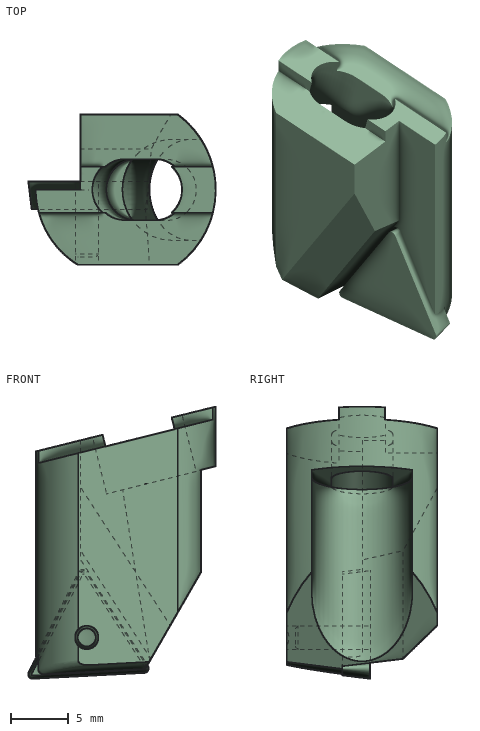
import cadquery as cq
import math

flat_width = 13.0
left_reach = 7.75
right_reach = 7.78
flat_left_end = 4.11
flat_right_end = 4.5

top_slope = 14.0
rail_top = 23.5
rail_width = 4.0
rail_height = 1.03

slot_length = 7.97
slot_diameter = 5.26
slot_center_x = 0.99
flange_thickness = 5.0
clearance_radius = 4.35
clearance_start_x = -0.28
clearance_tilt = 9.0

corner_x = 6.5
corner_z = 9.21
corner_angle = 60.0

insert_turn = 3.0
underside_relief = 7.0
underside_z = 0.56
underside_round = 0.5

insert_center_x = -3.35
insert_inradius = 3.17
insert_nose_radius = 0.4
insert_thickness = 2.4
insert_face_y = 0.7
insert_relief = 7.0
insert_corner_angle = 60.0
seat_gap = 0.197

pocket_wall_x = -3.9
pocket_step_y = 3.52
pocket_flare = 45.0

screw_x = -3.35
screw_z = 3.57
screw_radius = 1.0
screw_chamfer = 0.24
screw_recess = 0.73

beyond = 35.25

half_width = flat_width / 2
slope = math.radians(top_slope)
nose_distance = 2 * (insert_inradius - insert_nose_radius)
low_nose_angle = math.radians(insert_corner_angle / 2 + insert_turn)
insert_center_z = nose_distance * math.sin(low_nose_angle) + insert_nose_radius


def sloped_height(x, depth=0.0):
    """Height at x of the plane lying depth below the rail top, square to it."""
    return rail_top - (right_reach - x) * math.tan(slope) - depth / math.cos(slope)


def turned_plane(x, y, z, degrees):
    """XZ plane facing -Y at a point, its local X axis turned up from +X."""
    turn = math.radians(degrees)
    return cq.Plane(origin=(x, y, z), xDir=(math.cos(turn), 0, math.sin(turn)), normal=(0, -1, 0))


def tilted_plane(x, z, degrees):
    """Plane across the part at Y = 0 whose normal leans from +Z towards -X."""
    tilt = math.radians(degrees)
    return cq.Plane(
        origin=(x, 0, z),
        xDir=(math.cos(tilt), 0, math.sin(tilt)),
        normal=(-math.sin(tilt), 0, math.cos(tilt)),
    )


def insert_blank(gap=0.0):
    """Triangle with round noses, tapering from its +Y face, grown all round by a gap."""
    nose_centers = []
    for corner in range(3):
        angle = math.radians(90 + 120 * corner)
        nose_centers.append((nose_distance * math.cos(angle), nose_distance * math.sin(angle)))
    return (
        cq.Workplane(turned_plane(insert_center_x, insert_face_y, insert_center_z, insert_turn))
        .polyline(nose_centers)
        .close()
        .offset2D(insert_nose_radius + gap)
        .extrude(insert_thickness, taper=insert_relief)
    )


def screw_hole():
    """Straight hole from the insert face out through the -Y flat."""
    return (
        cq.Workplane(turned_plane(screw_x, insert_face_y, screw_z, 0))
        .circle(screw_radius)
        .extrude(insert_face_y + half_width)
    )


def make_screw():
    """Headless screw, flush with the insert and ending below the -Y flat."""
    return (
        cq.Workplane(turned_plane(screw_x, insert_face_y, screw_z, 0))
        .circle(screw_radius)
        .extrude(insert_face_y + half_width - screw_recess)
        .faces("<Y")
        .chamfer(screw_chamfer)
    )


def shank():
    """Two flats joined by shallow arcs, as a long upright bar."""
    return (
        cq.Workplane("XY", origin=(0, 0, -half_width))
        .moveTo(-flat_left_end, -half_width)
        .lineTo(flat_right_end, -half_width)
        .threePointArc((right_reach, 0), (flat_right_end, half_width))
        .lineTo(-flat_left_end, half_width)
        .threePointArc((-left_reach, 0), (-flat_left_end, -half_width))
        .close()
        .extrude(beyond)
    )


def below_top(depth, width):
    """Block under the plane lying depth below the rail top, centred on Y."""
    plane = tilted_plane(0, sloped_height(0, depth), top_slope)
    return cq.Workplane(plane).rect(2 * beyond, width).extrude(-beyond)


def below_underside():
    """Block under the relieved underside."""
    turn = math.tan(math.radians(insert_turn))
    relief = math.tan(math.radians(underside_relief))
    plane = cq.Plane(origin=(0, 0, underside_z), xDir=(1, 0, turn), normal=(-turn, relief, 1))
    return cq.Workplane(plane).rect(2 * beyond, 2 * beyond).extrude(-beyond)


def outside_corner():
    """Block outside the slanted +X corner."""
    return (
        cq.Workplane(turned_plane(corner_x, 0, corner_z, corner_angle))
        .center(0, -beyond / 2)
        .rect(2 * beyond, beyond)
        .extrude(half_width, both=True)
    )


def top_slot():
    """Round-ended slot square to the sloping top, down to the flange underside."""
    return (
        cq.Workplane(tilted_plane(slot_center_x, sloped_height(slot_center_x), top_slope))
        .slot2D(slot_length, slot_diameter)
        .extrude(-flange_thickness)
    )


def head_clearance():
    """Round-ended recess under the flange, open towards +X and below."""
    start_z = sloped_height(clearance_start_x, flange_thickness)
    return (
        cq.Workplane(tilted_plane(clearance_start_x, start_z, clearance_tilt))
        .moveTo(beyond, -clearance_radius)
        .lineTo(clearance_radius, -clearance_radius)
        .threePointArc((0, 0), (clearance_radius, clearance_radius))
        .lineTo(beyond, clearance_radius)
        .close()
        .extrude(beyond, both=True)
        .intersect(below_top(flange_thickness, 2 * beyond))
    )


def chip_pocket():
    """Space on the +Y side of the insert: an upright wall above a slanted, flaring wall."""
    wall_direction = math.radians(insert_corner_angle - insert_turn)
    across = (math.sin(wall_direction), 0, math.cos(wall_direction))
    along = (math.cos(wall_direction), 0, -math.sin(wall_direction))
    relief = math.tan(math.radians(insert_relief))
    wall = insert_inradius - insert_face_y * relief + seat_gap
    step = wall + pocket_step_y * relief
    flare_end = step + (half_width - pocket_step_y) * math.tan(math.radians(pocket_flare))
    profile = [
        (-beyond, 0),
        (wall, 0),
        (step, -pocket_step_y),
        (flare_end, -half_width),
        (-beyond, -half_width),
    ]
    slanted = (
        cq.Workplane(cq.Plane((insert_center_x, 0, insert_center_z), across, along))
        .polyline(profile)
        .close()
        .extrude(beyond, both=True)
    )
    upright = cq.Workplane("XY").box(beyond, half_width, 2 * beyond, centered=(False, False, True))
    return slanted.union(upright.translate((pocket_wall_x - beyond, 0, 0)))


def make_housing():
    """Shank with every cut made, and seats for the insert and the screw."""
    bar = shank().cut(below_underside())
    bar = bar.faces("<Z").edges("<X").fillet(underside_round)
    top = below_top(rail_height, 2 * beyond).union(below_top(0, rail_width))
    return (
        bar.intersect(top)
        .cut(outside_corner())
        .cut(top_slot())
        .cut(head_clearance())
        .cut(chip_pocket())
        .cut(insert_blank(seat_gap))
        .cut(screw_hole())
    )


housing = make_housing()
insert = insert_blank().cut(screw_hole())
screw = make_screw()
result = cq.Compound.makeCompound([housing.val(), insert.val(), screw.val()])